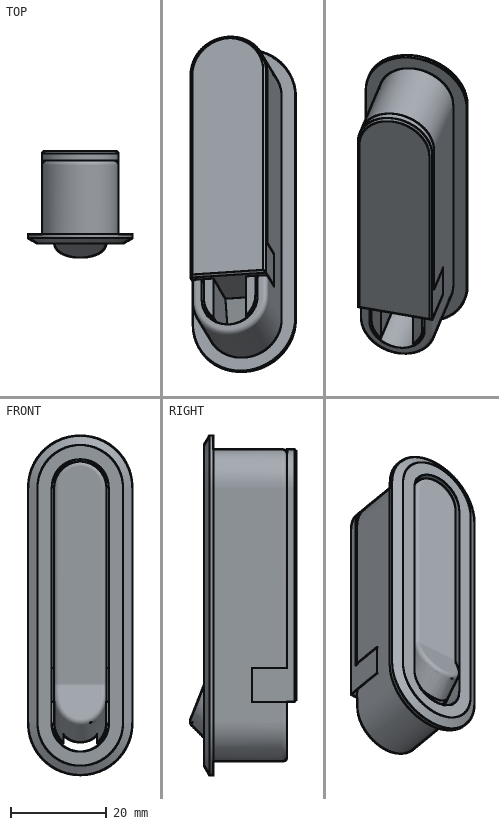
import cadquery as cq
import math


flange_width = 22.0
flange_height = 71.5
flange_thickness = 2.0
flange_bevel_width = 2.0
flange_bevel_angle = math.radians(30)
flange_bevel_depth = flange_bevel_width * math.tan(flange_bevel_angle)
straight_length = flange_height - flange_width
tube_width = 16.2
tube_back = 17.5
tube_back_fillet = 1.0
opening_width = 12.0

plate_back = 19.5
plate_bottom = -20.3
plate_edge_chamfer = 0.5
tab_height = 7.1
tab_front = 10.1
lever_width = 11.0
lever_radius = lever_width / 2
lever_edge_fillet = 1.0
lever_face = 0.0
ramp_start = -16.75
ramp_angle = math.radians(21.6)
ramp_blend_radius = 1.3
tip_bottom = -24.7
underside_angle = math.radians(45)
underside_depth = 6.3
notch_width = 7.0
ramp_wall = 5.8

reach = 2 * flange_height


def round_ended_block(width, front, back):
    """Block with half-round top and bottom ends, running along Y."""
    height = straight_length + width
    block = cq.Workplane("XZ", origin=(0, front, 0)).slot2D(height, width, 90)
    return block.extrude(front - back)


def side_profile(points):
    """Closed polygon of (Y, Z) points."""
    return cq.Workplane("YZ").polyline(points).close()


def box_between(x_size, front, back, bottom, top):
    """Block centred on X = 0 between the given Y and Z limits."""
    corner = cq.Workplane("XY", origin=(-x_size / 2, front, bottom))
    return corner.box(x_size, back - front, top - bottom, centered=False)


def tab_block():
    """Crossbar that passes through both side walls and ends as the two side tabs."""
    return box_between(tube_width, tab_front, tube_back, plate_bottom, plate_bottom + tab_height)


def make_housing():
    flange = round_ended_block(flange_width, 0, flange_thickness)
    flange = flange.faces("<Y").chamfer(flange_bevel_depth, flange_bevel_width)
    tube = round_ended_block(tube_width, flange_thickness, tube_back)
    tube = tube.faces(">Y").edges().fillet(tube_back_fillet)
    opening = round_ended_block(opening_width, 0, tube_back)
    return flange.union(tube).cut(opening).cut(tab_block())


def ramp_y(z):
    """Y of the ramp surface at height z."""
    return lever_face - (ramp_start - z) * math.tan(ramp_angle)


def make_back_plate():
    plate = round_ended_block(tube_width, tube_back, plate_back)
    plate = plate.intersect(box_between(tube_width, tube_back, plate_back, plate_bottom, reach))
    return plate.faces(">Y").edges().chamfer(plate_edge_chamfer)


def make_lever():
    lower_end = -flange_height / 2
    upper_end = flange_height / 2

    front = side_profile([
        (lever_face, upper_end),
        (lever_face, ramp_start),
        (ramp_y(lower_end), lower_end),
        (tube_back, lower_end),
        (tube_back, upper_end),
    ]).extrude(lever_width, both=True)
    bend = cq.selectors.NearestToPointSelector((0, lever_face, ramp_start))
    front = front.edges(bend).fillet(ramp_blend_radius)

    outline = round_ended_block(lever_width, -flange_height, tube_back)

    sweep_axis = (0, -math.cos(underside_angle), math.sin(underside_angle))
    sweep_plane = cq.Plane(
        origin=(0, ramp_y(tip_bottom), tip_bottom), xDir=(1, 0, 0), normal=sweep_axis
    )
    underside = (
        cq.Workplane(sweep_plane)
        .center(0, underside_depth)
        .moveTo(-lever_radius, 0)
        .ellipseArc(lever_radius, underside_depth, 180, 360, startAtCurrent=True)
        .lineTo(lever_radius, reach)
        .lineTo(-lever_radius, reach)
        .close()
        .extrude(reach, both=True)
    )
    lever = front.intersect(outline).intersect(underside)
    top_rim = cq.selectors.NearestToPointSelector((0, lever_face, upper_end))
    lever = lever.edges(top_rim).fillet(lever_edge_fillet)

    notch = side_profile([
        (ramp_y(plate_bottom) + ramp_wall, plate_bottom),
        (ramp_y(lower_end) + ramp_wall, lower_end),
        (tube_back, lower_end),
        (tube_back, plate_bottom),
    ]).extrude(notch_width / 2, both=True)
    lever = lever.cut(notch)

    return lever


def make_slider():
    return make_back_plate().union(tab_block()).union(make_lever())


housing = make_housing().solids()
slider = make_slider().solids()

result = cq.Compound.makeCompound([housing.val(), slider.val()])